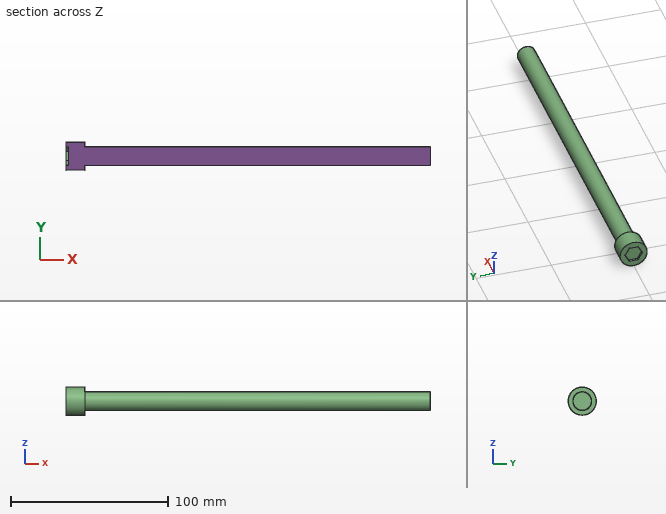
import cadquery as cq
import math

shank_diameter = 12.0
shank_length = 220.0
tip_chamfer = 0.2
head_diameter = 1.5 * shank_diameter
head_height = shank_diameter
socket_across_flats = 10.0
socket_depth = 1.5


def make_head():
    """Cylindrical head from the seating plane towards -X."""
    return cq.Workplane("YZ").circle(head_diameter / 2).extrude(-head_height)


def make_shank():
    """Plain shank from the seating plane to a chamfered tip."""
    shank = cq.Workplane("YZ").circle(shank_diameter / 2).extrude(shank_length)
    return shank.faces(">X").chamfer(tip_chamfer)


def make_socket():
    """Shallow hexagonal socket in the head face, with two corners in the plane Z = 0."""
    across_corners = socket_across_flats / math.cos(math.pi / 6)
    head_face = cq.Workplane("YZ", origin=(-head_height, 0, 0))
    return head_face.polygon(6, across_corners).extrude(socket_depth)


result = make_head().union(make_shank()).cut(make_socket())